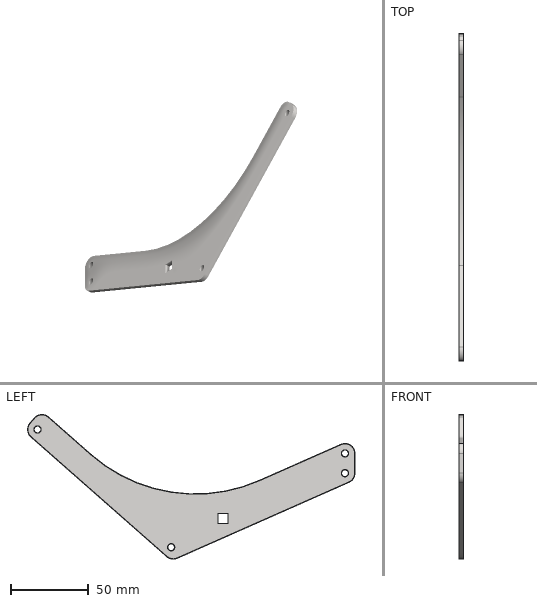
import cadquery as cq
import math

thickness = 3.175
hole_diameter = 4.37
edge_margin = 6.35
corner_radius = 6.35
inner_bend_radius = 101.6

pivot_hole = (0.0, 0.0)
tall_arm_hole = (85.8, 75.6)
low_arm_hole = (-111.6, 47.55)
low_arm_hole_spacing = 12.7
low_arm_upper_hole = (low_arm_hole[0], low_arm_hole[1] + low_arm_hole_spacing)
round_holes = [pivot_hole, tall_arm_hole, low_arm_hole, low_arm_upper_hole]

square_centre = (-33.3, 18.45)
square_side = 6.35

tall_arm_width = 17.0
tall_arm_angle = math.degrees(math.atan2(tall_arm_hole[1], tall_arm_hole[0]))
low_arm_angle = 180 - 23.86


def offset_line(point, angle, offset):
    """Line at an angle (degrees from +Y), moved sideways to its left by an offset."""
    direction = (math.cos(math.radians(angle)), math.sin(math.radians(angle)))
    start = (point[0] - offset * direction[1], point[1] + offset * direction[0])
    return start, direction


def intersect(line_a, line_b):
    """Point where two lines cross."""
    (ay, az), (a_dy, a_dz) = line_a
    (by, bz), (b_dy, b_dz) = line_b
    cross = a_dy * b_dz - a_dz * b_dy
    distance = ((by - ay) * b_dz - (bz - az) * b_dy) / cross
    return ay + distance * a_dy, az + distance * a_dz


def make_plate():
    """Six-cornered plate with every corner rounded."""
    tall_lower = offset_line(tall_arm_hole, tall_arm_angle, -edge_margin)
    tall_upper = offset_line(tall_arm_hole, tall_arm_angle, tall_arm_width - edge_margin)
    tall_end = offset_line(tall_arm_hole, tall_arm_angle + 90, -edge_margin)
    low_lower = offset_line(low_arm_hole, low_arm_angle, edge_margin)
    low_upper = offset_line(low_arm_upper_hole, low_arm_angle, -edge_margin)
    low_end = offset_line(low_arm_hole, 90, edge_margin)

    inner_bend = intersect(tall_upper, low_upper)
    outer_corners = [
        intersect(low_upper, low_end),
        intersect(low_end, low_lower),
        intersect(low_lower, tall_lower),
        intersect(tall_lower, tall_end),
        intersect(tall_end, tall_upper),
    ]
    plate = cq.Workplane("YZ").polyline([inner_bend] + outer_corners).close().extrude(thickness)

    def round_corner(body, corner, radius):
        nearest = cq.selectors.NearestToPointSelector((thickness / 2, corner[0], corner[1]))
        return body.edges("|X").edges(nearest).fillet(radius)

    plate = round_corner(plate, inner_bend, inner_bend_radius)
    for corner in outer_corners:
        plate = round_corner(plate, corner, corner_radius)
    return plate


def make_hole_cutters():
    """Round fastener holes and the square hole, all through the plate."""
    rounds = cq.Workplane("YZ").pushPoints(round_holes).circle(hole_diameter / 2).extrude(thickness)
    square = cq.Workplane("YZ").center(*square_centre).rect(square_side, square_side).extrude(thickness)
    return rounds.union(square)


result = make_plate().cut(make_hole_cutters())